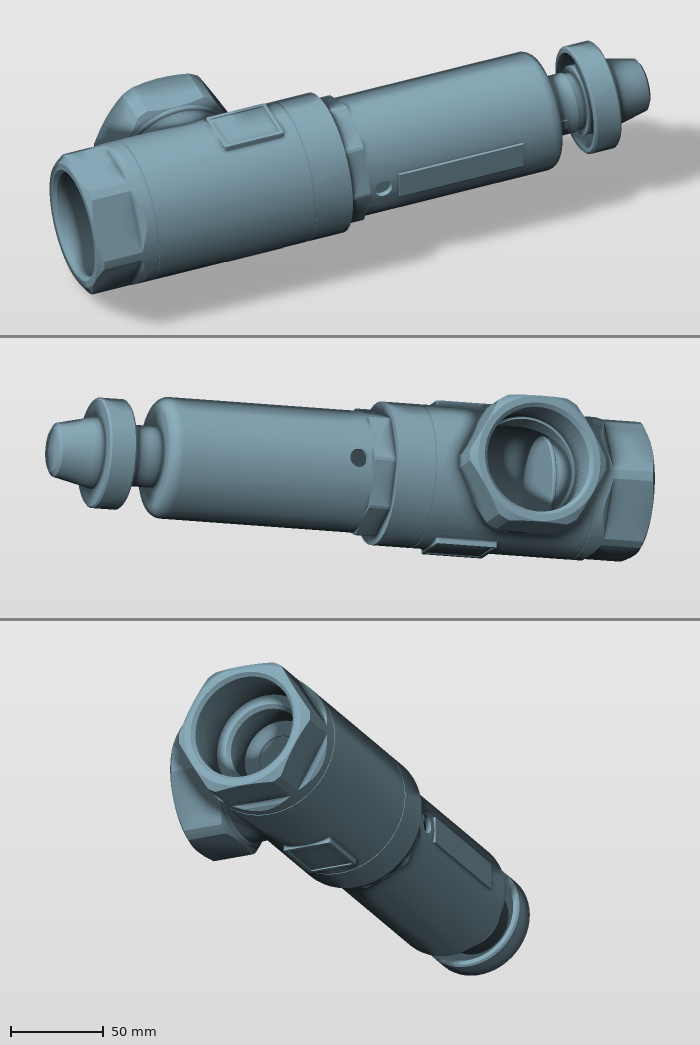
import cadquery as cq
import math


body_radius = 39.0
housing_top = 146.7
groove_heights = (34.2, 125.0)
groove_width = 1.0
groove_depth = 0.3
clearance = 3.3

hex_flats = 69.7
end_chamfer_radial = 4.3
end_chamfer_axial = 2.5
port_radius = 29.0
port_mouth_radius = 31.0
inlet_port_depth = 30.0
outlet_port_depth = 26.0
inlet_flat_length = 24.5
runout_step_length = 1.5
runout_step_height = 2.3
runout_length = 4.0

outlet_face = 61.0
outlet_height = 74.0
outlet_hex_radius = 38.5
outlet_hex_end = 34.0
outlet_neck_fillet = 2.0
outlet_neck_radius = 32.5
outlet_passage_radius = 27.5

chamber_radius = 32.2
chamber_floor = 44.8
chamber_top = 99.5
upper_chamber_radius = 33.2
seat_outer_radius = 25.5
seat_bore_radius = 21.5
seat_mouth_radius = 23.5
seat_top = 52.8

pad_width = 28.0
pad_length = 34.5
pad_center = 99.5
pad_height = 39.5
pad_corner_radius = 1.3
pad_base_fillet = 1.0
frame_width = 2.0
frame_depth = 0.5

disc_radius = 26.5
disc_thickness = 2.3
disc_edge_chamfer = 0.5
spigot_radius = 20.5
spigot_length = 5.0
disc_recess_radius = 12.0
disc_recess_depth = 0.5
disc_cone_radius = 8.0
disc_cone_depth = 1.0

bonnet_corner_radius = 35.2
bonnet_round_radius = 35.0
bonnet_top = 158.7
bonnet_plug_bottom = 125.0

cap_radius = 33.0
cap_top = 273.0
cap_fillet = 6.3
cap_wall = 3.0
cap_end_wall = 10.0
vent_radius = 5.0
vent_height = 167.0

label_bottom = 176.0
label_top = 248.0
label_width = 14.5
label_face = 33.5

stem_radius = 16.5
stem_neck_radius = 15.5
stem_shoulder = 287.0
key_face = 17.5
key_top = 280.0
key_width = 5.3

knob_bottom = 291.5
knob_rim_top = 306.8
knob_radius = 30.0
knob_edge_chamfer = 1.0
knob_recess_radius = 26.5
knob_recess_depth = 10.0
knob_hub_radius = 19.3
cone_base_radius = 19.5
cone_top_radius = 14.5
cone_top = 328.7
dome_radius = 12.0
dome_edge = 330.5
knob_top = 332.0


def turned(points):
    """Solid of revolution about Y from (radius, height) points."""
    return cq.Workplane("XY").polyline(points).close().revolve(360, (0, 0, 0), (0, 1, 0))


def cylinder(radius, bottom, top):
    """Cylinder about Y between two heights."""
    return turned([(0, bottom), (radius, bottom), (radius, top), (0, top)])


def hexagon(bottom, top):
    """Hexagonal bar about Y with two of its flats facing +Z and -Z."""
    corner_diameter = hex_flats / math.cos(math.pi / 6)
    bar = cq.Workplane("XZ").polygon(6, corner_diameter).extrude(bottom - top)
    return bar.translate((0, bottom, 0))


def port_cutter(depth):
    """Threaded port of the given depth about Y that opens at Y = 0 with a chamfered mouth."""
    mouth_depth = port_mouth_radius - port_radius
    return turned(
        [
            (0, 0),
            (port_mouth_radius, 0),
            (port_radius, mouth_depth),
            (port_radius, depth),
            (0, depth),
        ]
    )


def to_outlet(shape):
    """Move a shape built about +Y from Y = 0 to the outlet, pointing inward along +X."""
    turned_shape = shape.rotate((0, 0, 0), (0, 0, 1), -90)
    return turned_shape.translate((-outlet_face, outlet_height, 0))


def barrel():
    """Main cylinder with a chamfered inlet end and two thin grooves."""
    points = [
        (0, 0),
        (body_radius - end_chamfer_radial, 0),
        (body_radius, end_chamfer_axial),
        (body_radius, housing_top),
        (0, housing_top),
    ]
    body = turned(points)
    for height in groove_heights:
        bottom = height - groove_width / 2
        top = height + groove_width / 2
        ring = cylinder(body_radius + clearance, bottom, top)
        body = body.cut(ring.cut(cylinder(body_radius - groove_depth, bottom, top)))
    return body


def inlet_flat_cutter():
    """Removes six wrench flats, each ending in a run-out that is steep first and then shallow."""
    apothem = hex_flats / 2
    runout_end = inlet_flat_length + runout_length
    outside = body_radius + clearance
    single = (
        cq.Workplane("YZ")
        .moveTo(0, apothem)
        .lineTo(inlet_flat_length, apothem)
        .lineTo(inlet_flat_length + runout_step_length, apothem + runout_step_height)
        .lineTo(runout_end, body_radius)
        .lineTo(runout_end, outside)
        .lineTo(0, outside)
        .close()
        .extrude(body_radius / 2, both=True)
    )
    cutter = single
    for index in range(1, 6):
        cutter = cutter.union(single.rotate((0, 0, 0), (0, 1, 0), 60 * index))
    return cutter


def outlet_branch():
    """Outlet hexagon with both ends chamfered, and the round neck that joins it to the barrel."""
    length = outlet_face - outlet_hex_end
    end_radius = outlet_neck_radius + outlet_neck_fillet
    envelope = turned(
        [
            (0, 0),
            (end_radius, 0),
            (outlet_hex_radius, end_chamfer_axial),
            (outlet_hex_radius, length - end_chamfer_axial),
            (end_radius, length),
            (0, length),
        ]
    )
    nut = hexagon(0, length).intersect(envelope)
    neck = (
        cq.Workplane("XY")
        .moveTo(0, length)
        .lineTo(end_radius, length)
        .radiusArc((outlet_neck_radius, length + outlet_neck_fillet), -outlet_neck_fillet)
        .lineTo(outlet_neck_radius, outlet_face)
        .lineTo(0, outlet_face)
        .close()
        .revolve(360, (0, 0, 0), (0, 1, 0))
    )
    return to_outlet(nut.union(neck))


def add_pad(body, side):
    """Add a raised pad, filleted at its base; side is +1 for the upper pad and -1 for the lower one."""
    block = (
        cq.Workplane("XY")
        .rect(pad_width, pad_length)
        .extrude(side * pad_height)
        .edges("|Z")
        .fillet(pad_corner_radius)
        .translate((0, pad_center, 0))
    )
    joined = body.union(block)
    half_width = pad_width / 2 + clearance
    half_length = pad_length / 2 + clearance
    lowest = 0
    highest = side * (body_radius + pad_height) / 2
    base_region = cq.selectors.BoxSelector(
        (-half_width, pad_center - half_length, lowest),
        (half_width, pad_center + half_length, highest),
        boundingbox=True,
    )
    return joined.edges(base_region).fillet(pad_base_fillet)


def frame_cutter(side):
    """Shallow recess that leaves a frame around the pad."""
    recess = (
        cq.Workplane("XY")
        .workplane(offset=side * pad_height)
        .rect(pad_width - 2 * frame_width, pad_length - 2 * frame_width)
        .extrude(-side * frame_depth)
    )
    return recess.translate((0, pad_center, 0))


def chamber_cutter():
    """Chamber around the raised seat, and the bore through the seat."""
    chamber = cylinder(chamber_radius, chamber_floor, chamber_top)
    chamber = chamber.union(cylinder(upper_chamber_radius, chamber_top, housing_top))
    seat = cylinder(seat_outer_radius, chamber_floor, seat_top)
    mouth_depth = seat_mouth_radius - seat_bore_radius
    bore = turned(
        [
            (0, inlet_port_depth),
            (seat_mouth_radius, inlet_port_depth),
            (seat_bore_radius, inlet_port_depth + mouth_depth),
            (seat_bore_radius, seat_top),
            (0, seat_top),
        ]
    )
    return chamber.cut(seat).union(bore)


def outlet_passage():
    """Round passage from the outlet port into the chamber, leaving the raised seat whole."""
    passage = to_outlet(cylinder(outlet_passage_radius, 0, outlet_face))
    return passage.cut(cylinder(seat_outer_radius, chamber_floor, seat_top))


def make_housing():
    body = barrel()
    for side in (1, -1):
        body = add_pad(body, side).cut(frame_cutter(side))
    body = body.cut(inlet_flat_cutter())
    body = body.union(outlet_branch())
    body = body.cut(port_cutter(inlet_port_depth))
    body = body.cut(to_outlet(port_cutter(outlet_port_depth)))
    return body.cut(chamber_cutter()).cut(outlet_passage())


def make_disc():
    top = seat_top + disc_thickness
    bottom = seat_top - spigot_length
    recess_top = bottom + disc_recess_depth
    plate = cylinder(disc_radius, seat_top, top).edges().chamfer(disc_edge_chamfer)
    spigot = cylinder(spigot_radius, bottom, seat_top)
    recess = turned(
        [
            (0, bottom),
            (disc_recess_radius, bottom),
            (disc_recess_radius, recess_top),
            (disc_cone_radius, recess_top),
            (0, recess_top + disc_cone_depth),
        ]
    )
    return plate.union(spigot).cut(recess)


def make_bonnet():
    collar_height = bonnet_top - housing_top
    collar = cq.Workplane("XZ").polygon(8, 2 * bonnet_corner_radius).extrude(-collar_height)
    collar = collar.translate((0, housing_top, 0))
    collar = collar.intersect(cylinder(bonnet_round_radius, housing_top, bonnet_top))
    return collar.union(cylinder(upper_chamber_radius, bonnet_plug_bottom, housing_top))


def make_cap():
    cap = cylinder(cap_radius, bonnet_top, cap_top).faces(">Y").edges().fillet(cap_fillet)
    inside = cylinder(cap_radius - cap_wall, bonnet_top, cap_top - cap_end_wall)
    stem_hole = cylinder(stem_radius, bonnet_top, cap_top)
    vent = (
        cq.Workplane("YZ")
        .center(vent_height, 0)
        .circle(vent_radius)
        .extrude(2 * cap_radius, both=True)
    )
    return cap.cut(inside).cut(stem_hole).cut(vent)


def make_label():
    length = label_top - label_bottom
    plate = cq.Workplane("XY").box(label_face, length, label_width, centered=(False, True, True))
    plate = plate.translate((0, (label_top + label_bottom) / 2, 0))
    return plate.cut(cylinder(cap_radius, label_bottom, label_top))


def make_stem():
    bottom = cap_top - cap_end_wall
    top = knob_bottom + knob_recess_depth
    stem = cylinder(stem_radius, bottom, stem_shoulder)
    stem = stem.union(cylinder(stem_neck_radius, stem_shoulder, top))
    key = (
        cq.Workplane("XY")
        .box(key_face, key_top - cap_top, key_width, centered=(False, False, True))
        .translate((0, cap_top, 0))
    )
    return stem.union(key)


def make_knob():
    floor = knob_bottom + knob_recess_depth
    rim = cylinder(knob_radius, knob_bottom, knob_rim_top).edges().chamfer(knob_edge_chamfer)
    recess = cylinder(knob_recess_radius, knob_bottom, floor)
    hub = cylinder(knob_hub_radius, knob_bottom, floor)
    handle = turned(
        [
            (0, knob_rim_top),
            (cone_base_radius, knob_rim_top),
            (cone_top_radius, cone_top),
            (dome_radius, dome_edge),
            (0, knob_top),
        ]
    )
    stem_hole = cylinder(stem_neck_radius, knob_bottom, floor)
    return rim.cut(recess).union(hub).cut(stem_hole).union(handle)


housing = make_housing()
disc = make_disc()
bonnet = make_bonnet()
cap = make_cap()
label = make_label()
stem = make_stem()
knob = make_knob()

bodies = (housing, disc, bonnet, cap, label, stem, knob)
result = cq.Compound.makeCompound([body.solids().val() for body in bodies])